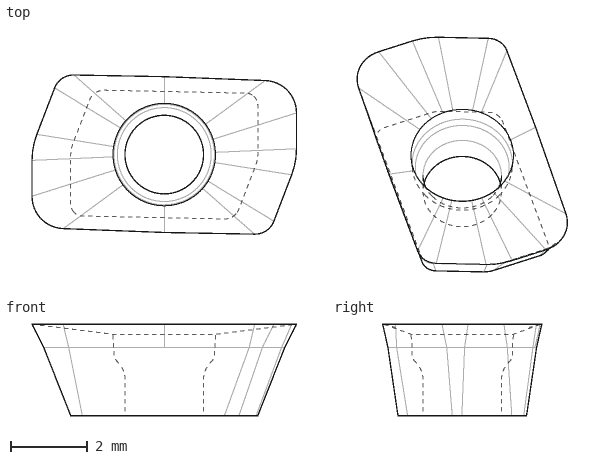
import cadquery as cq
import math

THICKNESS = 2.4
BAND_HEIGHT = 0.605
BAND_Z = THICKNESS - BAND_HEIGHT

RAMP_TILT = math.radians(21)
LONG_SIDE_TILT = math.radians(1.2)
LEAD_TILT = math.radians(2.2)
TRAIL_TILT = math.radians(1.05)

RIM_RADIUS = 1.34
DISH_DEPTH = 0.265
RIM_Z = THICKNESS - DISH_DEPTH
BORE_RADIUS = 2.05 / 2
SEAT_BOTTOM_Z = 0.95
SEAT_RADIUS = 0.64
SEAT_ANGLE = math.radians(47)
RELIEF_RADIUS = 0.27
OVERSHOOT = 0.5


def half_outline(half_length, half_width, ramp_y, nose, small_nose, ramp_blend, lead=None, trail=None):
    """Corners (x, y, radius) of half an outline, from the large nose to the ramp.

    half_width is the long side's distance from the center at x = 0.
    A corner at x = 0 is added only where the lead and trail tilts are given.
    """
    lead_slope = math.tan(LONG_SIDE_TILT if lead is None else lead)
    trail_slope = math.tan(LONG_SIDE_TILT if trail is None else trail)
    ramp_slope = math.tan(RAMP_TILT)

    ramp_drop = half_width + ramp_y + trail_slope * half_length
    small_nose_y = ramp_y - ramp_drop / (1 + trail_slope * ramp_slope)
    small_nose_x = half_length - (ramp_y - small_nose_y) * ramp_slope

    corners = [(-half_length, -half_width + lead_slope * half_length, nose)]
    if lead is not None:
        corners.append((0, -half_width, 0))
    corners.append((small_nose_x, small_nose_y, small_nose))
    corners.append((half_length, ramp_y, ramp_blend))
    return corners


def rounded_outline(half, z):
    """Closed wire from half an outline and its half-turn copy, with rounded corners.

    Also returns the points where its edges meet, in order.
    """
    corners = half + [(-x, -y, radius) for x, y, radius in half]
    edges = []
    joints = []
    arcs = []
    for i, (x, y, radius) in enumerate(corners):
        corner = cq.Vector(x, y, z)
        before = cq.Vector(*corners[i - 1][:2], z)
        after = cq.Vector(*corners[(i + 1) % len(corners)][:2], z)
        to_before = (before - corner).normalized()
        to_after = (after - corner).normalized()
        half_angle = to_before.getAngle(to_after) / 2
        setback = radius / math.tan(half_angle)
        bisector = (to_before + to_after).normalized()
        middle = corner + bisector * (radius / math.sin(half_angle) - radius)
        arcs.append((corner + to_before * setback, middle, corner + to_after * setback, radius))

    for i, (start, middle, end, radius) in enumerate(arcs):
        joints.append(start)
        if radius > 0:
            edges.append(cq.Edge.makeThreePointArc(start, middle, end))
            joints.append(end)
        edges.append(cq.Edge.makeLine(end, arcs[(i + 1) % len(arcs)][0]))
    return cq.Wire.assembleEdges(edges), joints


def rim_circle(joints):
    """Circle around the hole, split at the bearings of the given points."""
    bearings = [math.atan2(joint.y, joint.x) for joint in joints]
    edges = []
    for i, start in enumerate(bearings):
        sweep = (bearings[(i + 1) % len(bearings)] - start) % (2 * math.pi)
        points = [
            cq.Vector(RIM_RADIUS * math.cos(angle), RIM_RADIUS * math.sin(angle), RIM_Z)
            for angle in (start, start + sweep / 2, start + sweep)
        ]
        edges.append(cq.Edge.makeThreePointArc(*points))
    return cq.Wire.assembleEdges(edges)


def ruled_solid(lower_wire, upper_wire):
    """Solid between two wires with equal edge counts, one ruled face per edge pair."""
    return cq.Workplane(obj=cq.Solid.makeLoft([lower_wire, upper_wire], True))


def screw_hole():
    """Revolved cutter: bore, convex seat, concave relief and tapered upper wall."""
    seat_r = BORE_RADIUS + SEAT_RADIUS * (1 - math.cos(SEAT_ANGLE))
    seat_z = SEAT_BOTTOM_Z + SEAT_RADIUS * math.sin(SEAT_ANGLE)
    wall_r = seat_r + RELIEF_RADIUS * (1 - math.cos(SEAT_ANGLE))
    wall_z = seat_z + RELIEF_RADIUS * math.sin(SEAT_ANGLE)
    return (
        cq.Workplane("XZ")
        .moveTo(0, -OVERSHOOT)
        .lineTo(BORE_RADIUS, -OVERSHOOT)
        .lineTo(BORE_RADIUS, SEAT_BOTTOM_Z)
        .tangentArcPoint((seat_r, seat_z), relative=False)
        .tangentArcPoint((wall_r, wall_z), relative=False)
        .lineTo(RIM_RADIUS, RIM_Z)
        .lineTo(0, RIM_Z)
        .close()
        .revolve(360, (0, 0, 0), (0, 1, 0))
    )


base_half = half_outline(
    half_length=2.445, half_width=1.65, ramp_y=-0.14, nose=0.31, small_nose=0.4, ramp_blend=0.7
)
band_size = dict(
    half_length=3.155, half_width=1.90, ramp_y=-0.18, nose=0.67, small_nose=0.36, ramp_blend=1.3
)
band_half = half_outline(**band_size)
band_split_half = half_outline(**band_size, lead=LONG_SIDE_TILT, trail=LONG_SIDE_TILT)
top_half = half_outline(
    half_length=3.46, half_width=2.04, ramp_y=-0.2, nose=0.85, small_nose=0.53, ramp_blend=1.9,
    lead=LEAD_TILT, trail=TRAIL_TILT,
)

base_wire, _ = rounded_outline(base_half, 0)
band_wire, _ = rounded_outline(band_half, BAND_Z)
band_split_wire, _ = rounded_outline(band_split_half, BAND_Z)
top_wire, top_joints = rounded_outline(top_half, THICKNESS)

body = ruled_solid(base_wire, band_wire)
band = ruled_solid(band_split_wire, top_wire)
dish = ruled_solid(rim_circle(top_joints), top_wire)

result = body.union(band.cut(dish)).cut(screw_hole())